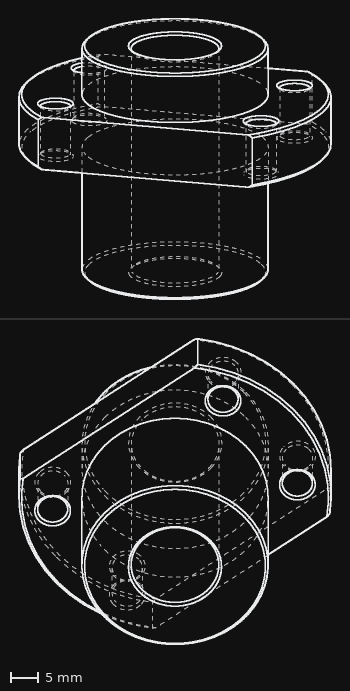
import cadquery as cq
import math

total_height = 43.3
flange_bottom = 24.0
flange_thickness = 10.0

sleeve_diameter = 34.0
bore_diameter = 16.0
flange_diameter = 57.0
flange_width = 40.0

bolt_circle_diameter = 45.0
bolt_hole_diameter = 5.5
bolt_angle = 30.0

edge_chamfer = 0.5


def chamfered_cylinder(diameter, height, base_z):
    """Upright cylinder with both end edges chamfered."""
    cylinder = cq.Workplane("XY").workplane(offset=base_z).circle(diameter / 2).extrude(height)
    return cylinder.faces("<Z or >Z").chamfer(edge_chamfer)


def chamfered_hole_cutter(x, y, diameter, height, base_z):
    """Cutter for a through hole with a chamfer at both mouths."""
    radius = diameter / 2
    mouth_radius = radius + edge_chamfer
    profile = (
        cq.Workplane("XZ")
        .moveTo(0, 0)
        .lineTo(mouth_radius, 0)
        .lineTo(radius, edge_chamfer)
        .lineTo(radius, height - edge_chamfer)
        .lineTo(mouth_radius, height)
        .lineTo(0, height)
        .close()
    )
    return profile.revolve(360, (0, 0, 0), (0, 1, 0)).translate((x, y, base_z))


def make_flange():
    """Round chamfered flange trimmed by two flats, which stay sharp-edged."""
    disc = chamfered_cylinder(flange_diameter, flange_thickness, flange_bottom)
    flats_envelope = cq.Workplane("XY").box(
        flange_diameter, flange_width, total_height, centered=(True, True, False)
    )
    return disc.intersect(flats_envelope)


def drill_bolt_holes(body):
    """Four holes on the bolt circle, mirrored about the X and Y axes."""
    hole_x = bolt_circle_diameter / 2 * math.cos(math.radians(bolt_angle))
    hole_y = bolt_circle_diameter / 2 * math.sin(math.radians(bolt_angle))
    for side_x in (-1, 1):
        for side_y in (-1, 1):
            cutter = chamfered_hole_cutter(
                side_x * hole_x, side_y * hole_y, bolt_hole_diameter, flange_thickness, flange_bottom
            )
            body = body.cut(cutter)
    return body


sleeve = chamfered_cylinder(sleeve_diameter, total_height, 0)
body = drill_bolt_holes(sleeve.union(make_flange()))
result = body.cut(chamfered_hole_cutter(0, 0, bore_diameter, total_height, 0))